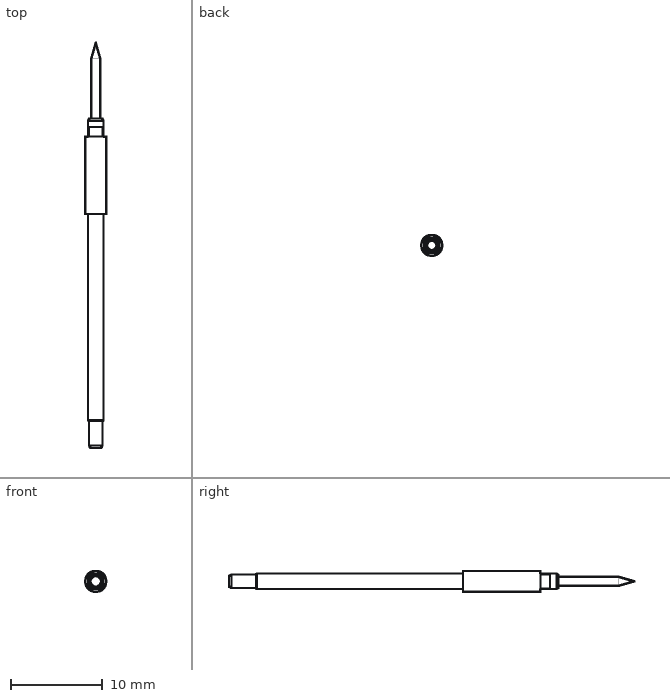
import cadquery as cq

tail_diameter = 1.5
rod_diameter = 1.73
sleeve_diameter = 2.3
collar_diameter = rod_diameter
needle_diameter = 1.0
square_width = rod_diameter

total_length = 44.3
rod_start = 2.95
sleeve_start = 25.55
neck_start = 34.02
collar_start = 35.1
needle_start = 36.0
tip_length = 1.75
tip_start = total_length - tip_length

tail_chamfer_length = 0.3
tail_chamfer_depth = 0.18
rod_chamfer = 0.1
collar_chamfer_length = 0.25
collar_chamfer_depth = 0.18


def cylinder(diameter, start, end):
    """Solid cylinder on the Y axis between two stations."""
    plane = cq.Workplane("XZ", origin=(0, start, 0))
    return plane.circle(diameter / 2).extrude(start - end)


def make_tail():
    """Straight tail whose free end narrows in a steep chamfer."""
    end_radius = tail_diameter / 2 - tail_chamfer_depth
    profile = (
        cq.Workplane("XY")
        .lineTo(end_radius, 0)
        .lineTo(tail_diameter / 2, tail_chamfer_length)
        .lineTo(tail_diameter / 2, rod_start)
        .lineTo(0, rod_start)
        .close()
    )
    return profile.revolve(360, (0, 0, 0), (0, 1, 0))


def make_rod():
    return cylinder(rod_diameter, rod_start, sleeve_start).faces("<Y").edges().chamfer(rod_chamfer)


def make_neck():
    """Sleeve-sized round milled to a square, leaving rounded corners."""
    blank = cylinder(sleeve_diameter, neck_start, collar_start)
    length = collar_start - neck_start
    square = cq.Workplane("XY").box(square_width, length, square_width)
    return blank.intersect(square.translate((0, neck_start + length / 2, 0)))


def make_collar():
    collar = cylinder(collar_diameter, collar_start, needle_start)
    return collar.faces(">Y").edges().chamfer(collar_chamfer_length, collar_chamfer_depth)


def make_needle():
    """Round shaft ending in a sharp cone."""
    profile = (
        cq.Workplane("XY")
        .moveTo(0, needle_start)
        .lineTo(needle_diameter / 2, needle_start)
        .lineTo(needle_diameter / 2, tip_start)
        .lineTo(0, total_length)
        .close()
    )
    return profile.revolve(360, (0, 0, 0), (0, 1, 0))


sleeve = cylinder(sleeve_diameter, sleeve_start, neck_start)
result = (
    make_tail()
    .union(make_rod())
    .union(sleeve)
    .union(make_neck())
    .union(make_collar())
    .union(make_needle())
)